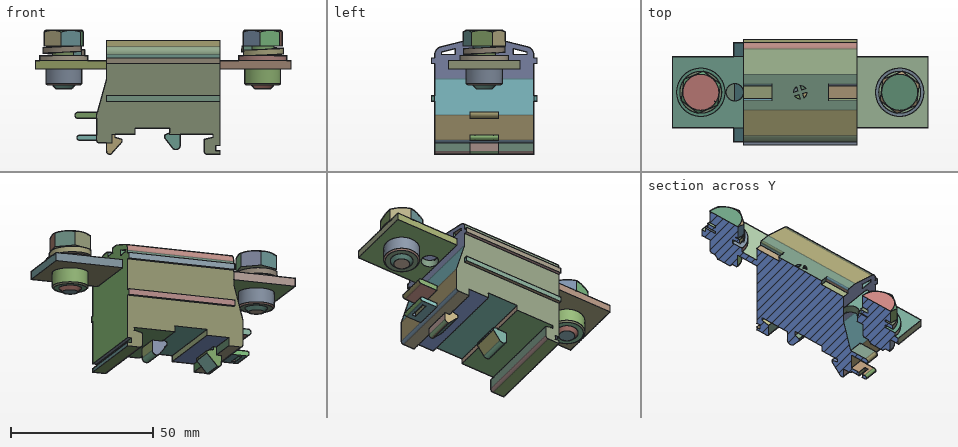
import cadquery as cq
import math


cover_length = 40.0
cover_half = cover_length / 2
base_left = -23.5
housing_width = 34.9
half_width = housing_width / 2
height = 40.1
roof_flat_half = 6.3
roof_angle = 14.0
shoulder_radius = 2.9
slope_top = 26.55
slope_bottom = 13.9
base_bottom = 4.05
base_corner_radius = 1.0

seat_z = 7.0
seat_left = -18.1
relief_left = -9.9
relief_right = 2.25
relief_z = 9.2
foot_left = 14.4
foot_hook_z = 5.3
foot_undercut_x = 17.5
foot_undercut_z = 6.0
foot_radius = 1.1
foot_notch_x = 18.5
foot_notch_bottom = 1.35
foot_notch_top = 3.1

clip_width = 10.2
clip_root_depth = 0.9
clip_root_z = relief_z + clip_root_depth
left_clip_toe_x = -18.45
left_clip_nose_x = -14.5
left_clip_nose_z = 4.4
left_clip_neck_x = -16.9
middle_clip_left = 0.45
middle_clip_right = 6.0
middle_clip_neck_z = 7.6
middle_clip_shoulder_z = 6.8
middle_clip_nose_z = 5.85
middle_clip_tip_start = (3.2, 2.25)
middle_clip_tip_mid = (5.0, 1.8)
middle_clip_tip_end_z = 3.2

rib_height = 2.1
width_over_ribs = 37.2
rib_bottoms = (18.6, 31.95)

duct_inner_y = 10.3
duct_outer_y = 15.0
duct_floor_z = 35.2
duct_inner_z = 37.2
duct_outer_z = 36.0

slot_length = 10.1
slot_width = 4.5
slot_depth = 1.8
slot_lip_radius = 0.6
screw_diameter = 4.7
screw_cross_width = 1.35
screw_cross_angle = 17.0
screw_depth = 0.9

bar_length = 90.0
bar_width = 25.0
bar_thickness = 3.0
bar_bottom = 30.1
bar_top = bar_bottom + bar_thickness
bar_hole_x = -23.0
bar_hole_diameter = 6.1

tongue_root_x = -18.0
upper_tongue_tip = -31.1
upper_tongue_bottom = 12.7
upper_tongue_thickness = 2.2
lower_tongue_tip = -30.4
lower_tongue_bottom = 4.95
lower_tongue_thickness = 1.8
tongue_slot_x = -27.6
tongue_slot_length = 6.5
tongue_slot_width = 1.35

bolt_spacing = 70.0
bolt_top = 43.7
head_height = 5.6
head_bottom = bolt_top - head_height
head_across_flats = 13.0
head_corner_diameter = head_across_flats / math.cos(math.radians(30))
head_top_diameter = 12.7
head_chamfer_angle = 30.0
head_turn = 22.8
shank_diameter = 8.0
washer_diameter = 17.0
washer_thickness = 1.7
washer_top = bar_top + washer_thickness
spring_diameter = 14.8
spring_thickness = 2.0
spring_bite = 0.045
spring_rise = head_bottom - washer_top - spring_thickness + 2 * spring_bite
spring_start_left = -33.0
spring_start_right = 202.0
nut_diameter = 12.7
nut_bottom = 24.4
nut_chamfer = 0.5
bolt_end_z = 23.0
bolt_end_diameter = 5.6

overlap = 0.2


def box(x0, x1, y0, y1, z0, z1):
    """Box between two opposite corners."""
    return cq.Workplane("XY").box(x1 - x0, y1 - y0, z1 - z0, centered=False).translate((x0, y0, z0))


def cylinder(diameter, z0, z1):
    """Upright cylinder on the Z axis."""
    return cq.Workplane("XY").workplane(offset=z0).circle(diameter / 2).extrude(z1 - z0)


def make_housing():
    eave_z = height - (half_width - roof_flat_half) * math.tan(math.radians(roof_angle))
    cross_section = (
        cq.Workplane("YZ").workplane(offset=base_left)
        .moveTo(-half_width, 0)
        .lineTo(half_width, 0)
        .lineTo(half_width, eave_z)
        .lineTo(roof_flat_half, height)
        .lineTo(-roof_flat_half, height)
        .lineTo(-half_width, eave_z)
        .close()
        .extrude(cover_half - base_left)
    )
    for side in (-1, 1):
        eave = cq.selectors.NearestToPointSelector((0, side * half_width, eave_z))
        cross_section = cross_section.edges("|X").edges(eave).fillet(shoulder_radius)

    side_outline = (
        cq.Workplane("XZ")
        .moveTo(-cover_half, height)
        .lineTo(-cover_half, slope_top)
        .lineTo(base_left, slope_bottom)
        .lineTo(base_left, base_bottom + base_corner_radius)
        .radiusArc((base_left + base_corner_radius, base_bottom), -base_corner_radius)
        .lineTo(seat_left, base_bottom)
        .lineTo(seat_left, seat_z)
        .lineTo(relief_left, seat_z)
        .lineTo(relief_left, relief_z)
        .lineTo(relief_right, relief_z)
        .lineTo(relief_right, seat_z)
        .lineTo(foot_undercut_x, seat_z)
        .lineTo(foot_undercut_x, foot_undercut_z)
        .lineTo(foot_left, foot_hook_z)
        .lineTo(foot_left, foot_radius)
        .radiusArc((foot_left + foot_radius, 0), -foot_radius)
        .lineTo(cover_half, 0)
        .lineTo(cover_half, foot_notch_bottom)
        .lineTo(foot_notch_x, foot_notch_bottom)
        .lineTo(foot_notch_x, foot_notch_top)
        .lineTo(cover_half, foot_notch_top)
        .lineTo(cover_half, height)
        .close()
        .extrude(half_width, both=True)
    )
    return cross_section.intersect(side_outline)


def make_ribs():
    reach = width_over_ribs / 2
    ribs = cq.Workplane("XY")
    for bottom in rib_bottoms:
        for y0, y1 in ((-reach, overlap - half_width), (half_width - overlap, reach)):
            ribs = ribs.add(box(-cover_half, cover_half, y0, y1, bottom, bottom + rib_height))
    return ribs.combine()


def make_ducts():
    """Two mirrored ducts running the full length of the cover."""
    duct = (
        cq.Workplane("YZ").workplane(offset=-cover_half)
        .moveTo(duct_inner_y, duct_floor_z)
        .lineTo(duct_outer_y, duct_floor_z)
        .lineTo(duct_outer_y, duct_outer_z)
        .lineTo(duct_inner_y, duct_inner_z)
        .close()
        .extrude(cover_length)
    )
    return duct.union(duct.mirror("XZ"))


def make_roof_slots():
    """Slots open at both cover ends, with rounded lips along their sides."""
    floor_z = height - slot_depth
    half = slot_width / 2
    lip_half = half + slot_lip_radius
    slot = (
        cq.Workplane("YZ").workplane(offset=-cover_half)
        .moveTo(-half, floor_z)
        .lineTo(half, floor_z)
        .lineTo(half, height - slot_lip_radius)
        .radiusArc((lip_half, height), slot_lip_radius)
        .lineTo(-lip_half, height)
        .radiusArc((-half, height - slot_lip_radius), slot_lip_radius)
        .close()
        .extrude(slot_length)
    )
    return slot.union(slot.mirror("YZ"))


def make_screw_recess():
    """Round recess that leaves a cross standing level with the roof."""
    cross = (
        cq.Workplane("XY").workplane(offset=height - screw_depth)
        .rect(screw_diameter, screw_cross_width)
        .extrude(screw_depth)
    )
    cross = cross.union(cross.rotate((0, 0, 0), (0, 0, 1), 90))
    cross = cross.rotate((0, 0, 0), (0, 0, 1), screw_cross_angle)
    return cylinder(screw_diameter, height - screw_depth, height).cut(cross)


def make_rail_clips():
    left_clip = (
        cq.Workplane("XZ")
        .moveTo(-cover_half, clip_root_z)
        .lineTo(-cover_half, foot_radius)
        .radiusArc((foot_radius - cover_half, 0), -foot_radius)
        .lineTo(left_clip_toe_x, 0)
        .lineTo(left_clip_nose_x, left_clip_nose_z)
        .lineTo(left_clip_nose_x, foot_hook_z)
        .lineTo(left_clip_neck_x, foot_undercut_z)
        .lineTo(left_clip_neck_x, clip_root_z)
        .close()
        .extrude(clip_width / 2, both=True)
    )
    middle_clip = (
        cq.Workplane("XZ")
        .moveTo(relief_right, clip_root_z)
        .lineTo(relief_right, middle_clip_neck_z)
        .lineTo(middle_clip_left, middle_clip_shoulder_z)
        .lineTo(middle_clip_left, middle_clip_nose_z)
        .lineTo(*middle_clip_tip_start)
        .threePointArc(middle_clip_tip_mid, (middle_clip_right, middle_clip_tip_end_z))
        .lineTo(middle_clip_right, clip_root_z)
        .close()
        .extrude(clip_width / 2, both=True)
    )
    return left_clip.union(middle_clip)


def make_tongue(tip_x, bottom, thickness):
    """Flat tongue with a fully rounded tip."""
    tip_radius = thickness / 2
    top = bottom + thickness
    return (
        cq.Workplane("XZ")
        .moveTo(tongue_root_x, bottom)
        .lineTo(tip_x + tip_radius, bottom)
        .threePointArc((tip_x, bottom + tip_radius), (tip_x + tip_radius, top))
        .lineTo(tongue_root_x, top)
        .close()
        .extrude(clip_width / 2, both=True)
    )


def make_tongues():
    upper = make_tongue(upper_tongue_tip, upper_tongue_bottom, upper_tongue_thickness)
    lower = make_tongue(lower_tongue_tip, lower_tongue_bottom, lower_tongue_thickness)
    slot = (
        cq.Workplane("XY").workplane(offset=lower_tongue_bottom)
        .center(tongue_slot_x, 0)
        .rect(tongue_slot_width, tongue_slot_length)
        .extrude(lower_tongue_thickness)
    )
    return upper.union(lower.cut(slot))


def make_bar():
    bar = (
        cq.Workplane("XY").workplane(offset=bar_bottom)
        .rect(bar_length, bar_width)
        .extrude(bar_thickness)
    )
    hole = cylinder(bar_hole_diameter, bar_bottom, bar_top).translate((bar_hole_x, 0, 0))
    return bar.cut(hole)


def make_bolt_head():
    """Hexagon whose corners are trimmed by a cone at the top."""
    hexagon = (
        cq.Workplane("XY").workplane(offset=head_bottom)
        .polygon(6, head_corner_diameter)
        .extrude(head_height)
        .rotate((0, 0, 0), (0, 0, 1), head_turn)
    )
    top_radius = head_top_diameter / 2
    cone_radius = top_radius + head_height / math.tan(math.radians(head_chamfer_angle))
    cone = (
        cq.Workplane("XZ")
        .moveTo(0, head_bottom)
        .lineTo(cone_radius, head_bottom)
        .lineTo(top_radius, bolt_top)
        .lineTo(0, bolt_top)
        .close()
        .revolve(360, (0, 0, 0), (0, 1, 0))
    )
    return hexagon.intersect(cone)


def make_spring_washer(start_angle):
    """One-turn split ring that climbs from the flat washer to the bolt head and grips the shank."""
    inner_radius = shank_diameter / 2 - overlap
    radial_width = spring_diameter / 2 - inner_radius
    mean_radius = inner_radius + radial_width / 2
    path = cq.Wire.makeHelix(spring_rise, spring_rise, mean_radius)
    ring = (
        cq.Workplane("XZ")
        .center(mean_radius, 0)
        .rect(radial_width, spring_thickness)
        .sweep(cq.Workplane(obj=path), isFrenet=True)
    )
    ring = ring.translate((0, 0, washer_top - spring_bite + spring_thickness / 2))
    return ring.rotate((0, 0, 0), (0, 0, 1), start_angle)


def make_bolt(x, spring_start):
    """Bolt, washers and round nut at one end of the bar."""
    bolt = cylinder(shank_diameter, bar_bottom, head_bottom)
    bolt = bolt.union(make_bolt_head())
    bolt = bolt.union(make_spring_washer(spring_start))
    bolt = bolt.union(cylinder(washer_diameter, bar_top, washer_top))
    bolt = bolt.union(cylinder(nut_diameter, nut_bottom, bar_bottom).faces("<Z").chamfer(nut_chamfer))
    bolt_end = (
        cq.Workplane("XY").workplane(offset=bolt_end_z)
        .circle(bolt_end_diameter / 2)
        .workplane(offset=nut_bottom - bolt_end_z)
        .circle(shank_diameter / 2)
        .loft()
    )
    return bolt.union(bolt_end).translate((x, 0, 0))


housing = make_housing().cut(make_ducts()).cut(make_roof_slots()).cut(make_screw_recess())
result = housing.union(make_ribs()).union(make_rail_clips()).union(make_tongues()).union(make_bar())
result = result.union(make_bolt(-bolt_spacing / 2, spring_start_left))
result = result.union(make_bolt(bolt_spacing / 2, spring_start_right))